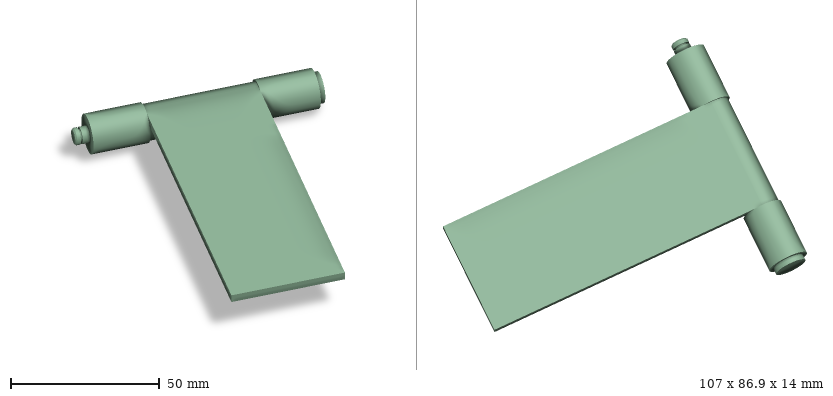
import cadquery as cq

total_length = 107.0

sleeve_diameter = 14.0
sleeve_length = 20.0

leaf_width = 39.9
plate_thickness = 3.0
knuckle_diameter = 12.6

pin_diameter = 6.0
head_diameter = 11.0
head_height = 2.0
tip_length = 5.0
groove_diameter = 4.6
groove_offset = 2.6
groove_width = 0.6
tip_chamfer = 0.5

knuckle_radius = knuckle_diameter / 2
plate_end_x = total_length - sleeve_diameter / 2
leaf_half_width = leaf_width / 2
barrel_half_length = leaf_half_width + sleeve_length
pin_tip_y = -barrel_half_length - tip_length


def cylinder(diameter, start_y, length):
    """Solid cylinder on the hinge axis, growing toward +Y from start_y."""
    return (
        cq.Workplane("XZ", origin=(0, start_y, 0))
        .circle(diameter / 2)
        .extrude(-length)
    )


def pin_bore(start_y, length):
    """Cutter for the through hole that fits the pin shank."""
    return cylinder(pin_diameter, start_y, length)


def make_sleeve(start_y):
    """Plain tube at one end of the barrel."""
    return cylinder(sleeve_diameter, start_y, sleeve_length).cut(pin_bore(start_y, sleeve_length))


def make_leaf():
    """Plate flush with the top of its knuckle, bored for the pin."""
    knuckle = cylinder(knuckle_diameter, -leaf_half_width, leaf_width)
    plate = cq.Workplane("XY").box(
        plate_end_x, leaf_width, plate_thickness, centered=(False, True, False)
    ).translate((0, 0, knuckle_radius - plate_thickness))
    return knuckle.union(plate).cut(pin_bore(-leaf_half_width, leaf_width))


def make_pin():
    """Headed pin with a chamfered tip and a retaining-ring groove."""
    shank = cylinder(pin_diameter, pin_tip_y, barrel_half_length - pin_tip_y)
    shank = shank.faces("<Y").chamfer(tip_chamfer)

    groove_start_y = -barrel_half_length - groove_offset - groove_width
    groove_core = cylinder(groove_diameter, groove_start_y, groove_width)
    groove_ring = cylinder(pin_diameter, groove_start_y, groove_width).cut(groove_core)

    head = cylinder(head_diameter, barrel_half_length, head_height)
    return shank.cut(groove_ring).union(head)


sleeves = [make_sleeve(start_y) for start_y in (-barrel_half_length, leaf_half_width)]
leaf = make_leaf()
pin = make_pin()

result = cq.Compound.makeCompound([leaf.val(), pin.val(), *[sleeve.val() for sleeve in sleeves]])